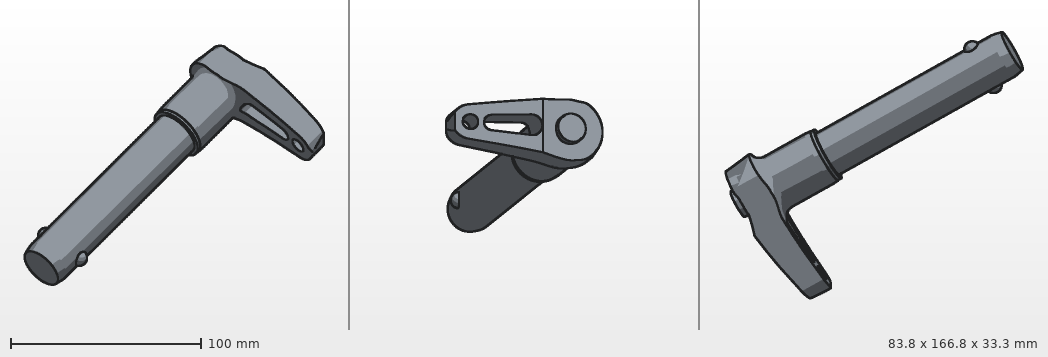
import cadquery as cq
import math


shaft_radius = 12.5
shaft_length = 112.0
tip_radius = 11.4
tip_length = 5.6
tip_bulge = 0.12

ball_radius = 4.4
ball_reach = 15.5
ball_to_tip = 17.7

sleeve_radius = 15.15
collar_radius = 14.7
collar_height = 2.0
sleeve_taper_radius = 14.9
sleeve_taper_height = 3.1
flare_start = 29.9
flare_radius = 6.5
flare_top = flare_start + flare_radius
flare_rim = sleeve_radius + flare_radius

button_radius = 7.7
button_top = 54.8

head_radius = 16.65
heel_reach = 20.1
heel_radius = 16.1
heel_center = heel_radius - heel_reach
end_reach = 63.8
end_center = 54.3
end_radius = end_reach - end_center

arm_underside_start = 16.0
arm_underside_end = (64.05, 33.9)
heel_top = 51.6
heel_top_end = -10.5
dip_start = (-6.0, 50.6)
dip_end = (4.6, 50.6)
rise_mid = (10.0, 51.9)
hump = (15.9, 53.8)
arm_top_mid = (38.1, 51.2)
arm_top_end = (62.3, 46.7)
end_edge_fillet = 2.0

relief_center = -0.9
relief_top_radius = 17.3
relief_bottom_radius = heel_reach + relief_center

trim = 2.0
profile_left = -heel_reach - trim
profile_width = 2 * (head_radius + trim)

slot_wide_center = 21.9
slot_wide_radius = 5.7
slot_narrow_center = 43.0
slot_narrow_radius = 4.2
hole_radius = 4.0


def on_circle(center, radius, angle):
    """Point (X, Z) on a circle centred on the X axis; the angle is in radians from +X."""
    return (center + radius * math.cos(angle), radius * math.sin(angle))


def tapered_loop(left, right, middle=None):
    """Outline of rounds, each (center, radius), joined by their common tangents."""
    rounds = [left, right] if middle is None else [left, middle, right]
    angles = []
    for (center_a, radius_a), (center_b, radius_b) in zip(rounds, rounds[1:]):
        angles.append(math.acos((radius_a - radius_b) / (center_b - center_a)))

    loop = cq.Workplane("XZ").moveTo(*on_circle(*left, -angles[0]))
    loop = loop.threePointArc(on_circle(*left, math.pi), on_circle(*left, angles[0]))
    if middle is not None:
        loop = loop.lineTo(*on_circle(*middle, angles[0]))
        loop = loop.threePointArc(
            on_circle(*middle, sum(angles) / 2), on_circle(*middle, angles[1])
        )
    loop = loop.lineTo(*on_circle(*right, angles[-1]))
    loop = loop.threePointArc(on_circle(*right, 0), on_circle(*right, -angles[-1]))
    if middle is not None:
        loop = loop.lineTo(*on_circle(*middle, -angles[1]))
        loop = loop.threePointArc(
            on_circle(*middle, -sum(angles) / 2), on_circle(*middle, -angles[0])
        )
    return loop.close()


def along_pin(loop):
    """Extrude an outline along +Y, past the top of the handle."""
    return loop.extrude(-button_top)


def revolve_about_pin(profile):
    return profile.close().revolve(360, (0, 0, 0), (0, 1, 0))


def make_pin():
    tip_mid = ((tip_radius + shaft_radius) / 2 + tip_bulge, tip_length / 2 - shaft_length)
    taper_top = collar_height + sleeve_taper_height
    profile = (
        cq.Workplane("XY")
        .moveTo(0, -shaft_length)
        .lineTo(tip_radius, -shaft_length)
        .threePointArc(tip_mid, (shaft_radius, tip_length - shaft_length))
        .lineTo(shaft_radius, 0)
        .lineTo(collar_radius, 0)
        .lineTo(collar_radius, collar_height)
        .lineTo(sleeve_taper_radius, collar_height)
        .lineTo(sleeve_radius, taper_top)
        .lineTo(sleeve_radius, flare_start)
        .lineTo(0, flare_start)
    )
    return revolve_about_pin(profile)


def make_flare():
    """Concave fillet from the sleeve out to the underside of the handle."""
    diagonal = flare_radius * math.sqrt(0.5)
    profile = (
        cq.Workplane("XY")
        .moveTo(0, flare_start)
        .lineTo(sleeve_radius, flare_start)
        .threePointArc((flare_rim - diagonal, flare_start + diagonal), (flare_rim, flare_top))
        .lineTo(0, flare_top)
    )
    return revolve_about_pin(profile)


def make_side_profile():
    body = (
        cq.Workplane("XY")
        .workplane(offset=-profile_width / 2)
        .moveTo(profile_left, flare_top)
        .lineTo(arm_underside_start, flare_top)
        .tangentArcPoint(arm_underside_end, relative=False)
        .lineTo(*arm_top_end)
        .threePointArc(arm_top_mid, hump)
        .threePointArc(rise_mid, dip_end)
        .lineTo(*dip_start)
        .lineTo(heel_top_end, heel_top)
        .lineTo(profile_left, heel_top)
        .close()
        .extrude(profile_width)
    )
    lower_end_edge = cq.selectors.NearestToPointSelector((*arm_underside_end, 0))
    return body.edges(lower_end_edge).fillet(end_edge_fillet)


def make_heel_relief():
    """Material outside a cone that leans the heel inward towards its top."""
    height = heel_top - flare_top
    cone = cq.Workplane(
        cq.Solid.makeCone(
            relief_bottom_radius,
            relief_top_radius,
            height,
            pnt=cq.Vector(relief_center, flare_top, 0),
            dir=cq.Vector(0, 1, 0),
        )
    )
    length = dip_start[0] - profile_left
    block = cq.Workplane("XY").box(length, height, profile_width, centered=(False, False, True))
    return block.translate((profile_left, flare_top, 0)).cut(cone)


def make_handle():
    outline = along_pin(
        tapered_loop(
            (heel_center, heel_radius), (end_center, end_radius), middle=(0, head_radius)
        )
    )
    grip = make_side_profile().cut(make_heel_relief())
    slot = along_pin(
        tapered_loop(
            (slot_wide_center, slot_wide_radius), (slot_narrow_center, slot_narrow_radius)
        )
    )
    hole = along_pin(cq.Workplane("XZ").center(end_center, 0).circle(hole_radius))
    return grip.union(make_flare()).intersect(outline).cut(slot).cut(hole)


def make_button():
    height = button_top - flare_start
    button = cq.Workplane("XZ").circle(button_radius).extrude(-height)
    return button.translate((0, flare_start, 0))


def make_ball(side):
    """Locking ball on one side of the shaft; side is -1 or 1 along X."""
    center = (side * (ball_reach - ball_radius), ball_to_tip - shaft_length, 0)
    return cq.Workplane("XY").sphere(ball_radius).translate(center)


result = make_pin().union(make_handle()).union(make_button())
for side in (-1, 1):
    result = result.union(make_ball(side))